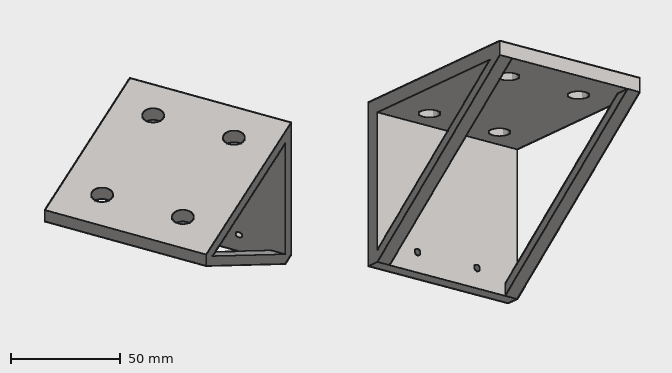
import cadquery as cq
import math

width = 80.0
depth = 100.0
height = 80.0
wall = 7.0

brace_width = 7.0
brace_thickness = 4.7

top_hole_diameter = 10.0
top_hole_spacing_x = 40.0
top_hole_spacing_y = 60.0

back_hole_diameter = 3.2
back_hole_spacing = 34.0
back_hole_height = 10.0

front_y = -depth / 2
back_y = depth / 2
top_z = height / 2
bottom_z = -height / 2
plate_underside_z = top_z - wall
back_inner_y = back_y - wall

top_plate = cq.Workplane("XY").box(width, depth, wall).translate((0, 0, top_z - wall / 2))
back_plate = cq.Workplane("XY").box(width, wall, height).translate((0, back_y - wall / 2, 0))


def side_brace(start_x):
    """Sloping bar from the front edge of the top plate to the foot of the back plate."""
    slope_run = depth - wall
    slope_rise = height - wall
    slope_length = math.hypot(slope_run, slope_rise)
    inset_y = brace_thickness * slope_length / slope_rise
    inset_z = brace_thickness * slope_length / slope_run
    return (
        cq.Workplane("YZ", origin=(start_x, 0, 0))
        .moveTo(front_y, plate_underside_z)
        .lineTo(front_y + inset_y, plate_underside_z)
        .lineTo(back_inner_y, bottom_z + inset_z)
        .lineTo(back_inner_y, bottom_z)
        .close()
        .extrude(brace_width)
    )


bracket = top_plate.union(back_plate)
for brace_x in (-width / 2, width / 2 - brace_width):
    bracket = bracket.union(side_brace(brace_x))

top_holes = (
    cq.Workplane("XY", origin=(0, 0, plate_underside_z))
    .rarray(top_hole_spacing_x, top_hole_spacing_y, 2, 2)
    .circle(top_hole_diameter / 2)
    .extrude(wall)
)

back_holes = (
    cq.Workplane("XZ", origin=(0, back_y, bottom_z + back_hole_height))
    .rarray(back_hole_spacing, 1, 2, 1)
    .circle(back_hole_diameter / 2)
    .extrude(wall)
)

result = bracket.cut(top_holes).cut(back_holes)